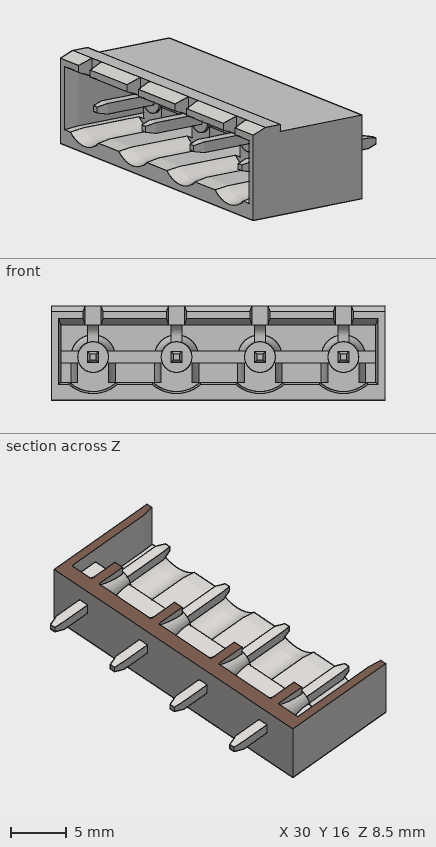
import cadquery as cq
import math

pole_count = 4
pole_pitch = 7.5
housing_width = pole_count * pole_pitch
housing_depth = 12.0
housing_height = 7.85
lip_height = 8.5
lip_depth = 3.0
lip_front_height = 8.0

lead_in_depth = 1.35
cavity_back = 10.5
mouth_side_wall = 0.65
mouth_floor = 1.45
mouth_ceiling = 7.35
cavity_side_wall = 0.85
cavity_floor = 1.63
cavity_ceiling = 6.78

notch_front_width = 1.8
notch_back_width = 1.44

pin_height = 3.9
groove_radius = 3.1
groove_front_radius = 3.28

boss_length = 3.0
boss_front = cavity_back - boss_length
boss_radius = 1.38
boss_base_radius = 2.0
collar_length = 0.2

rib_width = 1.0
bar_height = 1.1
rib_fillet_radius = 1.0

pin_size = 1.0
pin_tip_size = 0.55
pin_taper = 1.0
pin_front = 1.2
pin_back = housing_depth + 4.0


def pole_positions():
    first = -(pole_count - 1) * pole_pitch / 2
    return [first + index * pole_pitch for index in range(pole_count)]


def along_y(y):
    """Sketch plane facing +Y at the given depth, with local axes (-X, Z)."""
    return cq.Workplane(cq.Plane(origin=(0, y, 0), xDir=(-1, 0, 0), normal=(0, 1, 0)))


def box(width, y_start, y_end, z_bottom, z_top):
    size = (width, y_end - y_start, z_top - z_bottom)
    block = cq.Workplane("XY").box(*size, centered=(True, False, False))
    return block.translate((0, y_start, z_bottom))


def make_housing():
    profile = [
        (0, 0),
        (housing_depth, 0),
        (housing_depth, housing_height),
        (lip_depth, housing_height),
        (lip_depth, lip_height),
        (lead_in_depth, lip_height),
        (0, lip_front_height),
    ]
    side = cq.Workplane("YZ").polyline(profile).close()
    return side.extrude(housing_width / 2, both=True)


def make_cavity():
    mouth_width = housing_width - 2 * mouth_side_wall
    cavity_width = housing_width - 2 * cavity_side_wall
    mouth_middle = (mouth_floor + mouth_ceiling) / 2
    cavity_middle = (cavity_floor + cavity_ceiling) / 2
    lead_in = (
        along_y(0)
        .center(0, mouth_middle)
        .rect(mouth_width, mouth_ceiling - mouth_floor)
        .workplane(offset=lead_in_depth)
        .center(0, cavity_middle - mouth_middle)
        .rect(cavity_width, cavity_ceiling - cavity_floor)
        .loft(ruled=True)
    )
    return lead_in.union(box(cavity_width, lead_in_depth, cavity_back, cavity_floor, cavity_ceiling))


def make_groove():
    """Round groove that flares toward the mating face and stops at the boss front."""
    profile = [
        (0, 0),
        (groove_front_radius, 0),
        (groove_radius, lead_in_depth),
        (groove_radius, boss_front),
        (0, boss_front),
    ]
    groove = cq.Workplane("XY").polyline(profile).close().revolve(360, (0, 0, 0), (0, 1, 0))
    below_floor = box(2 * groove_front_radius, 0, boss_front, 0, cavity_floor)
    return groove.translate((0, 0, pin_height)).intersect(below_floor)


def make_notch():
    outline = [
        (-notch_front_width / 2, 0),
        (notch_front_width / 2, 0),
        (notch_back_width / 2, lead_in_depth),
        (-notch_back_width / 2, lead_in_depth),
    ]
    notch = cq.Workplane("XY").polyline(outline).close().extrude(lip_height - cavity_ceiling)
    return notch.translate((0, 0, cavity_ceiling))


def flare_middle():
    """Point halfway along the flare arc, which starts parallel to the pin at the boss front."""
    spread = boss_base_radius - boss_radius
    arc_radius = (boss_length**2 + spread**2) / (2 * spread)
    half_sweep = math.asin(boss_length / arc_radius) / 2
    return (
        boss_radius + arc_radius * (1 - math.cos(half_sweep)),
        boss_front + arc_radius * math.sin(half_sweep),
    )


def make_boss():
    """Flared round boss, carried down to the floor with the same flare, and a collar in front."""
    middle_radius, middle_y = flare_middle()
    round_part = (
        cq.Workplane("XY")
        .moveTo(0, boss_front)
        .lineTo(boss_radius, boss_front)
        .threePointArc((middle_radius, middle_y), (boss_base_radius, cavity_back))
        .lineTo(0, cavity_back)
        .close()
        .revolve(360, (0, 0, 0), (0, 1, 0))
        .translate((0, 0, pin_height))
    )
    foot = (
        cq.Workplane("XY")
        .moveTo(-boss_radius, boss_front)
        .lineTo(boss_radius, boss_front)
        .threePointArc((middle_radius, middle_y), (boss_base_radius, cavity_back))
        .lineTo(-boss_base_radius, cavity_back)
        .threePointArc((-middle_radius, middle_y), (-boss_radius, boss_front))
        .close()
        .extrude(pin_height - cavity_floor)
        .translate((0, 0, cavity_floor))
    )
    collar = along_y(boss_front - collar_length).center(0, pin_height).circle(boss_radius)
    return round_part.union(foot).union(collar.extrude(boss_length))


def make_upright_rib():
    """Rib from the boss up to the ceiling, meeting the ceiling in a concave quarter round."""
    arc_start_height = cavity_ceiling - rib_fillet_radius
    arc_end_y = boss_front - rib_fillet_radius
    arc_offset = rib_fillet_radius * math.sqrt(0.5)
    side = (
        cq.Workplane("YZ")
        .moveTo(cavity_back, pin_height)
        .lineTo(boss_front, pin_height)
        .lineTo(boss_front, arc_start_height)
        .threePointArc(
            (arc_end_y + arc_offset, arc_start_height + arc_offset),
            (arc_end_y, cavity_ceiling),
        )
        .lineTo(cavity_back, cavity_ceiling)
        .close()
    )
    return side.extrude(rib_width / 2, both=True)


def make_cross_bar():
    """Bar along the back wall that links all bosses at pin height."""
    return box(
        housing_width - 2 * cavity_side_wall,
        boss_front,
        cavity_back,
        pin_height - bar_height / 2,
        pin_height + bar_height / 2,
    )


def make_pin():
    shank_start = pin_front + pin_taper
    shank_end = pin_back - pin_taper
    shank = along_y(shank_start).rect(pin_size, pin_size).extrude(shank_end - shank_start)
    front_tip = (
        along_y(pin_front)
        .rect(pin_tip_size, pin_tip_size)
        .workplane(offset=pin_taper)
        .rect(pin_size, pin_size)
        .loft(ruled=True)
    )
    back_tip = (
        along_y(shank_end)
        .rect(pin_size, pin_size)
        .workplane(offset=pin_taper)
        .rect(pin_tip_size, pin_tip_size)
        .loft(ruled=True)
    )
    return shank.union(front_tip).union(back_tip).translate((0, 0, pin_height))


def make_header():
    header = make_housing().cut(make_cavity())
    pole_cuts = make_groove().union(make_notch())
    pole_bodies = make_boss().union(make_upright_rib()).union(make_pin())
    for x in pole_positions():
        header = header.cut(pole_cuts.translate((x, 0, 0)))
    header = header.union(make_cross_bar())
    for x in pole_positions():
        header = header.union(pole_bodies.translate((x, 0, 0)))
    return header


result = make_header()